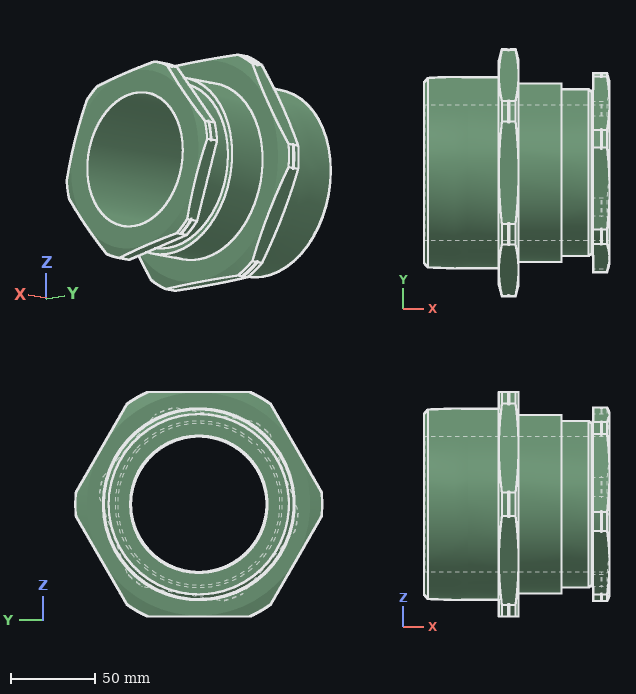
import cadquery as cq
import math

LENGTH = 110.3
COLLAR_CROWN_END = 26.3
FLANGE_START = 44.5
FLANGE_WIDTH = 11.9
BARREL_END = 81.8
NUT_WIDTH = 9.8
NUT_START = LENGTH - NUT_WIDTH

COLLAR_RADIUS = 56.8
COLLAR_CROWN_RADIUS = 56.9
COLLAR_FRONT_RADIUS = 56.3
COLLAR_CHAMFER_LENGTH = 2.3
COLLAR_CHAMFER_DEPTH = 2.8
BARREL_RADIUS = 53.1
NECK_RADIUS = 49.6
RELIEF_DEPTH = 1.5
RELIEF_ENTRY_LENGTH = 1.9
RELIEF_EXIT_LENGTH = 0.9
BORE_RADIUS = 40.2
BORE_CHAMFER = 0.6

HEX_SIDES = 6
FLANGE_FLATS = 133.5
FLANGE_CORNERS = 146.7
NUT_FLATS = 108.0
NUT_CORNERS = 118.7
NUT_ROTATION = 10.0
CHAMFER_ANGLE = 15.0
CHAMFER_INSET = 0.5
CORNER_GROOVE_DEPTH = 0.3
FLANGE_GROOVE_WIDTH = 0.9
NUT_GROOVE_WIDTH = 0.5


def revolve_profile(profile):
    """Turn a closed profile, drawn as (axial, radial), about the X axis."""
    return profile.close().revolve(360, (0, 0, 0), (1, 0, 0))


def turned_body():
    """Collar with a slightly crowned front, barrel and neck, with a V relief in front of the nut."""
    collar_start = COLLAR_CHAMFER_LENGTH
    crown_middle = (collar_start + COLLAR_CROWN_END) / 2
    relief_bottom = NUT_START - RELIEF_EXIT_LENGTH
    profile = (
        cq.Workplane("XY")
        .moveTo(0, 0)
        .lineTo(0, COLLAR_FRONT_RADIUS - COLLAR_CHAMFER_DEPTH)
        .lineTo(collar_start, COLLAR_FRONT_RADIUS)
        .threePointArc((crown_middle, COLLAR_CROWN_RADIUS), (COLLAR_CROWN_END, COLLAR_RADIUS))
        .lineTo(FLANGE_START, COLLAR_RADIUS)
        .lineTo(FLANGE_START, BARREL_RADIUS)
        .lineTo(BARREL_END, BARREL_RADIUS)
        .lineTo(BARREL_END, NECK_RADIUS)
        .lineTo(relief_bottom - RELIEF_ENTRY_LENGTH, NECK_RADIUS)
        .lineTo(relief_bottom, NECK_RADIUS - RELIEF_DEPTH)
        .lineTo(NUT_START, NECK_RADIUS)
        .lineTo(LENGTH, NECK_RADIUS)
        .lineTo(LENGTH, 0)
    )
    return revolve_profile(profile)


def hexagon(start, width, flats, corners, groove_width, chamfer_start):
    """Hexagon with two corners on the Y axis, turned corners and a V groove round each corner."""
    end = start + width
    middle = start + width / 2
    corner_radius = corners / 2
    face_radius = flats / 2 - CHAMFER_INSET
    chamfer_length = (corner_radius - face_radius) * math.tan(math.radians(CHAMFER_ANGLE))
    sharp_corners = flats / math.cos(math.pi / HEX_SIDES)
    prism = (
        cq.Workplane("YZ", origin=(start, 0, 0))
        .polygon(HEX_SIDES, sharp_corners)
        .extrude(width)
    )
    blank = cq.Workplane("XY").moveTo(start, 0)
    if chamfer_start:
        blank = blank.lineTo(start, face_radius).lineTo(start + chamfer_length, corner_radius)
    else:
        blank = blank.lineTo(start, corner_radius)
    blank = (
        blank.lineTo(middle - groove_width / 2, corner_radius)
        .lineTo(middle, corner_radius - CORNER_GROOVE_DEPTH)
        .lineTo(middle + groove_width / 2, corner_radius)
        .lineTo(end - chamfer_length, corner_radius)
        .lineTo(end, face_radius)
        .lineTo(end, 0)
    )
    return prism.intersect(revolve_profile(blank))


def bore():
    """Through bore with a small chamfer at the inlet."""
    profile = (
        cq.Workplane("XY")
        .moveTo(0, 0)
        .lineTo(0, BORE_RADIUS + BORE_CHAMFER)
        .lineTo(BORE_CHAMFER, BORE_RADIUS)
        .lineTo(LENGTH, BORE_RADIUS)
        .lineTo(LENGTH, 0)
    )
    return revolve_profile(profile)


flange = hexagon(FLANGE_START, FLANGE_WIDTH, FLANGE_FLATS, FLANGE_CORNERS, FLANGE_GROOVE_WIDTH, True)
nut = hexagon(NUT_START, NUT_WIDTH, NUT_FLATS, NUT_CORNERS, NUT_GROOVE_WIDTH, False)
nut = nut.rotate((0, 0, 0), (1, 0, 0), NUT_ROTATION)

result = turned_body().union(flange).union(nut).cut(bore())